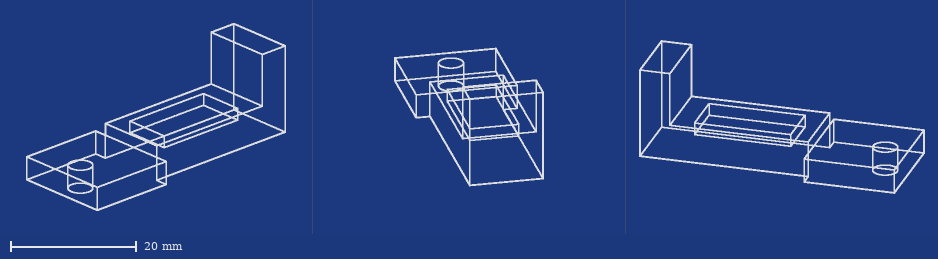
import cadquery as cq

total_length = 43.0
total_height = 15.0

plate_width = 16.5
plate_length = 15.0
plate_thickness = 4.0
hole_diameter = 4.0
hole_edge_distance = 4.0

bar_width = 12.0
bar_height = 6.0
post_thickness = 5.0

pocket_width = 8.0
pocket_length = 16.0
pocket_depth = 2.0

bar_length = total_length - plate_length
seat_length = bar_length - post_thickness
pocket_center_y = plate_length + seat_length / 2


def block(width, length, height, front_y, base_z=0.0):
    """Box centred on X, starting at front_y and base_z."""
    return (
        cq.Workplane("XY")
        .box(width, length, height, centered=(True, False, False))
        .translate((0, front_y, base_z))
    )


plate = block(plate_width, plate_length, plate_thickness, 0)
bar = block(bar_width, bar_length, bar_height, plate_length)
post = block(bar_width, post_thickness, total_height, total_length - post_thickness)

pocket = block(
    pocket_width,
    pocket_length,
    pocket_depth,
    pocket_center_y - pocket_length / 2,
    bar_height - pocket_depth,
)

hole = (
    cq.Workplane("XY")
    .center(0, hole_edge_distance)
    .circle(hole_diameter / 2)
    .extrude(plate_thickness)
)

result = plate.union(bar).union(post).cut(pocket).cut(hole)